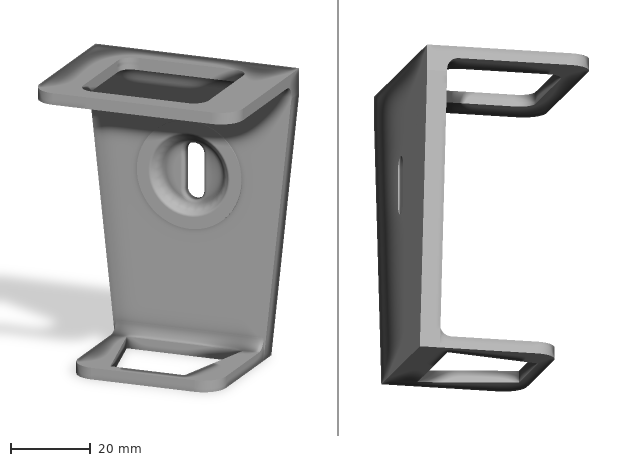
import cadquery as cq

HEIGHT = 76.0
TOP_WIDTH = 55.0
BOTTOM_WIDTH = 40.0
PLATE_THICKNESS = 5.2
STRAIGHT_SIDE_HEIGHT = 6.5

ARM_THICKNESS = 3.05
ARM_CORNER_RADIUS = 6.0
INNER_FILLET = 3.0
UPPER_REACH = 43.0
LOWER_REACH = 36.0

UPPER_WINDOW_WIDTH = 33.9
UPPER_WINDOW_BACK = 7.15
UPPER_WINDOW_RIM = 5.0
UPPER_WINDOW_RADIUS = 4.0

LOWER_WINDOW_BACK = 8.2
LOWER_WINDOW_RIM = 3.05
LOWER_WINDOW_BACK_WIDTH = 31.5
LOWER_WINDOW_FRONT_WIDTH = 20.1

PANEL_BOTTOM = 11.1
PANEL_TOP = 62.2
PANEL_INSET = 7.15

BOSS_DIAMETER = 28.3
BOSS_HEIGHT = 0.3
SEAT_Z = 46.4
MOUTH_RADIUS = 10.65
FLOOR_RADIUS = 8.0
SEAT_DEPTH = 3.0
MOUTH_ROUNDING = 0.8
FLOOR_ROUNDING = 1.15

SLOT_WIDTH = 5.2
SLOT_LENGTH = 14.9
SLOT_ROUNDING = 1.0

TAPER_HEIGHT = HEIGHT - STRAIGHT_SIDE_HEIGHT
FRONT_Y = -PLATE_THICKNESS
MOUTH_Y = FRONT_Y - BOSS_HEIGHT
FLOOR_Y = MOUTH_Y + SEAT_DEPTH
SELECT_MARGIN = 0.1


def plate_width(z):
    """Width of the tapered part of the plate at height z."""
    return BOTTOM_WIDTH + (TOP_WIDTH - BOTTOM_WIDTH) * z / TAPER_HEIGHT


def make_plate():
    half_top = TOP_WIDTH / 2
    half_bottom = BOTTOM_WIDTH / 2
    outline = [
        (-half_bottom, 0),
        (half_bottom, 0),
        (half_top, TAPER_HEIGHT),
        (half_top, HEIGHT),
        (-half_top, HEIGHT),
        (-half_top, TAPER_HEIGHT),
    ]
    return cq.Workplane("XZ").polyline(outline).close().extrude(PLATE_THICKNESS)


def make_arm(width, reach, bottom_z, inner_side):
    """Flat arm with rounded front corners and a concave root against the plate.

    inner_side is +1 when the root rises above the arm and -1 when it hangs below.
    """
    length = reach - PLATE_THICKNESS
    arm = cq.Workplane("XY").box(width, length, ARM_THICKNESS, centered=(True, False, False))
    arm = arm.edges("|Z and <Y").fillet(ARM_CORNER_RADIUS).translate((0, -reach, bottom_z))
    inner_z = bottom_z + ARM_THICKNESS if inner_side > 0 else bottom_z
    root = (
        cq.Workplane("YZ")
        .moveTo(FRONT_Y, inner_z)
        .lineTo(FRONT_Y, inner_z + inner_side * INNER_FILLET)
        .radiusArc((FRONT_Y - INNER_FILLET, inner_z), inner_side * INNER_FILLET)
        .close()
        .extrude(width / 2, both=True)
    )
    return arm.union(root)


def make_upper_window():
    length = UPPER_REACH - UPPER_WINDOW_BACK - UPPER_WINDOW_RIM
    window = cq.Workplane("XY").box(
        UPPER_WINDOW_WIDTH, length, HEIGHT / 2, centered=(True, False, False)
    )
    window = window.edges("|Z").fillet(UPPER_WINDOW_RADIUS)
    return window.translate((0, UPPER_WINDOW_RIM - UPPER_REACH, HEIGHT / 2))


def make_lower_window():
    half_back = LOWER_WINDOW_BACK_WIDTH / 2
    half_front = LOWER_WINDOW_FRONT_WIDTH / 2
    back_y = -LOWER_WINDOW_BACK
    front_y = LOWER_WINDOW_RIM - LOWER_REACH
    outline = [
        (-half_back, back_y),
        (half_back, back_y),
        (half_front, front_y),
        (-half_front, front_y),
    ]
    return cq.Workplane("XY").polyline(outline).close().extrude(HEIGHT / 2)


def make_panel_blank():
    """Trapezoid block that fills the plate's opening through its full thickness."""
    half_bottom = plate_width(PANEL_BOTTOM) / 2 - PANEL_INSET
    half_top = plate_width(PANEL_TOP) / 2 - PANEL_INSET
    outline = [
        (-half_bottom, PANEL_BOTTOM),
        (half_bottom, PANEL_BOTTOM),
        (half_top, PANEL_TOP),
        (-half_top, PANEL_TOP),
    ]
    return cq.Workplane("XZ").polyline(outline).close().extrude(PLATE_THICKNESS)


def make_frame():
    upper_arm = make_arm(TOP_WIDTH, UPPER_REACH, HEIGHT - ARM_THICKNESS, -1)
    lower_arm = make_arm(BOTTOM_WIDTH, LOWER_REACH, 0, 1)
    return (
        make_plate()
        .union(upper_arm, clean=False)
        .union(lower_arm, clean=False)
        .cut(make_upper_window(), clean=False)
        .cut(make_lower_window(), clean=False)
        .cut(make_panel_blank(), clean=False)
    )


def edges_at(y, half_width):
    """Selector for edges at depth y that stay within half_width of the seat axis along X."""
    reach = half_width + SELECT_MARGIN
    return cq.selectors.BoxSelector(
        (-reach, y - SELECT_MARGIN, 0), (reach, y + SELECT_MARGIN, HEIGHT), boundingbox=True
    )


def cut_screw_seat(body):
    """Conical recess from the boss face, rounded at its mouth and at its floor."""
    profile = [
        (0, MOUTH_Y),
        (MOUTH_RADIUS, MOUTH_Y),
        (FLOOR_RADIUS, FLOOR_Y),
        (0, FLOOR_Y),
    ]
    cone = cq.Workplane("XY").polyline(profile).close().revolve(360, (0, 0), (0, 1))
    body = body.cut(cone.translate((0, 0, SEAT_Z)))
    body = body.edges(edges_at(MOUTH_Y, MOUTH_RADIUS)).fillet(MOUTH_ROUNDING)
    return body.edges(edges_at(FLOOR_Y, FLOOR_RADIUS)).fillet(FLOOR_ROUNDING)


def cut_slot(body):
    """Vertical slot from the seat floor through the back, rounded where it meets the floor."""
    slot = (
        cq.Workplane("XZ", origin=(0, 0, SEAT_Z))
        .slot2D(SLOT_LENGTH, SLOT_WIDTH, 90)
        .extrude(PLATE_THICKNESS)
    )
    rim = edges_at(FLOOR_Y, SLOT_WIDTH / 2)
    return body.cut(slot).edges(rim).fillet(SLOT_ROUNDING)


def make_panel():
    boss = (
        cq.Workplane("XZ", origin=(0, FRONT_Y, SEAT_Z))
        .circle(BOSS_DIAMETER / 2)
        .extrude(BOSS_HEIGHT)
    )
    return cut_slot(cut_screw_seat(make_panel_blank().union(boss)))


frame = make_frame()
panel = make_panel()
result = cq.Compound.makeCompound([frame.solids().val(), panel.solids().val()])